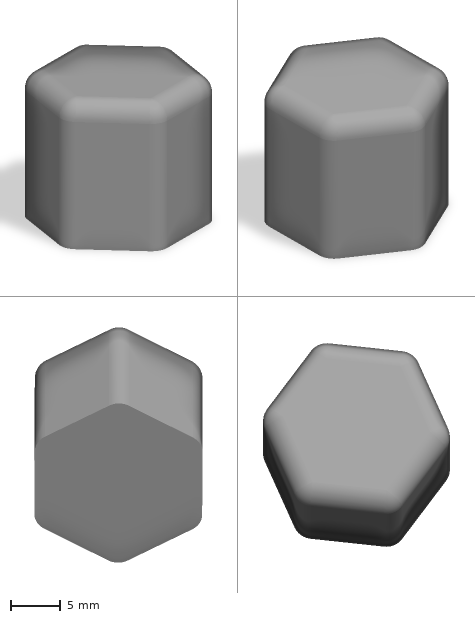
import cadquery as cq
import math

across_flats = 17.0
height = 16.0
edge_radius = 2.0

side_count = 6
across_corners = across_flats / math.cos(math.pi / side_count)
corner_turn = 90.0


def hexagonal_body():
    """Upright hexagonal prism standing on the XY plane."""
    prism = cq.Workplane("XY").polygon(side_count, across_corners).extrude(height)
    return prism.rotate((0, 0, 0), (0, 0, 1), corner_turn)


def round_edges(body):
    """Round the upright corners, then the top rim that joins them."""
    body = body.edges("|Z").fillet(edge_radius)
    return body.faces(">Z").edges().fillet(edge_radius)


result = round_edges(hexagonal_body())